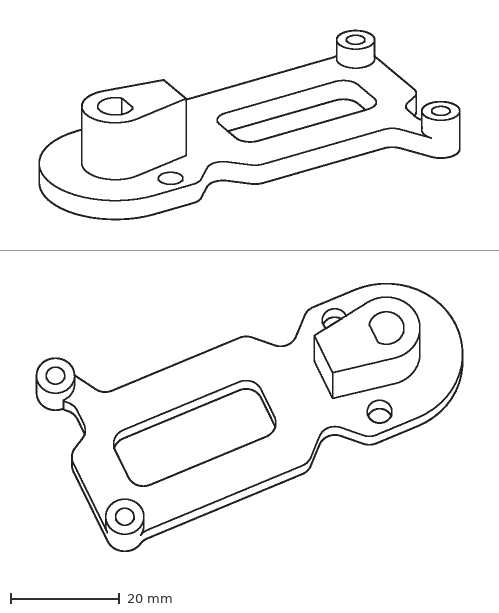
import cadquery as cq
import math


total_length = 75.5
plate_thickness = 4.0
half_width = 14.05
plate_top = total_length - half_width
corner_radius = 3.0

waist_y = 15.85
notch_depth = 6.2

post_diameter = 7.0
post_radius = post_diameter / 2
post_hole_diameter = 3.4
post_height = 2 * plate_thickness
post_y = plate_top - post_radius
left_post_x = -11.5
right_post_x = 19.5

recess_depth = 5.0
recess_start_x = 5.5
recess_end_x = 14.3
recess_slope = math.radians(60)
recess_floor_y = plate_top - recess_depth
recess_floor_x = recess_start_x + recess_depth / math.tan(recess_slope)

arm_slope = math.radians(30)
arm_tangent_x = right_post_x + post_radius * math.sin(arm_slope)
arm_tangent_y = post_y - post_radius * math.cos(arm_slope)
arm_root_y = arm_tangent_y - (arm_tangent_x - half_width) * math.tan(arm_slope)

window_width = 12.0
window_bottom = 23.9
window_length = 29.45

total_height = 4 * plate_thickness
boss_radius = 6.2
boss_end_y = 12.7
boss_end_half_width = 4.1
shaft_diameter = 6.5
shaft_flat_y = 2.6

screw_hole_diameter = 4.5
screw_hole_x = 10.05
screw_hole_y = 5.9


def make_plate():
    """Flat arm with a round near end, a waist and a recessed far edge."""
    notch_points = [
        (half_width, waist_y - notch_depth),
        (half_width - notch_depth, waist_y),
        (half_width, waist_y + notch_depth),
    ]
    left_notch_points = [(-x, y) for x, y in reversed(notch_points)]
    arm_root = (half_width, arm_root_y)
    recess_points = [
        (recess_end_x, recess_floor_y),
        (recess_floor_x, recess_floor_y),
        (recess_start_x, plate_top),
    ]
    outline = cq.Workplane("XY").moveTo(-half_width, 0)
    outline = outline.threePointArc((0, -half_width), (half_width, 0))
    for point in notch_points + [arm_root]:
        outline = outline.lineTo(*point)
    outline = outline.lineTo(arm_tangent_x, arm_tangent_y).lineTo(right_post_x, post_y)
    wall_rise = post_y - recess_floor_y
    outline = outline.lineTo(recess_end_x + wall_rise, post_y)
    for point in recess_points:
        outline = outline.lineTo(*point)
    wall_offset = left_post_x + half_width
    post_wall_joint = (-half_width, post_y - math.sqrt(post_radius**2 - wall_offset**2))
    outline = outline.lineTo(left_post_x, plate_top)
    outline = outline.threePointArc((left_post_x - post_radius, post_y), post_wall_joint)
    for point in left_notch_points:
        outline = outline.lineTo(*point)
    plate = outline.close().extrude(plate_thickness)

    rounded_corners = notch_points + left_notch_points + [arm_root, post_wall_joint] + recess_points
    for x, y in rounded_corners:
        corner = cq.selectors.NearestToPointSelector((x, y, plate_thickness / 2))
        plate = plate.edges("|Z").edges(corner).fillet(corner_radius)
    return plate


def make_boss():
    """Round boss whose two flanks leave the circle tangentially to a flat end."""
    end_distance = math.hypot(boss_end_half_width, boss_end_y)
    end_angle = math.atan2(boss_end_y, boss_end_half_width)
    tangent_angle = end_angle - math.acos(boss_radius / end_distance)
    tangent_x = boss_radius * math.cos(tangent_angle)
    tangent_y = boss_radius * math.sin(tangent_angle)
    return (
        cq.Workplane("XY")
        .moveTo(-boss_end_half_width, boss_end_y)
        .lineTo(-tangent_x, tangent_y)
        .threePointArc((0, -boss_radius), (tangent_x, tangent_y))
        .lineTo(boss_end_half_width, boss_end_y)
        .close()
        .extrude(total_height)
    )


def make_shaft_hole():
    """D-shaped through hole with its flat toward the arm."""
    radius = shaft_diameter / 2
    flat_half_width = math.sqrt(radius**2 - shaft_flat_y**2)
    return (
        cq.Workplane("XY")
        .moveTo(-flat_half_width, shaft_flat_y)
        .threePointArc((0, -radius), (flat_half_width, shaft_flat_y))
        .close()
        .extrude(total_height)
    )


def make_window():
    """Rounded rectangular opening along the arm."""
    return (
        cq.Workplane("XY")
        .center(0, window_bottom + window_length / 2)
        .rect(window_width, window_length)
        .extrude(plate_thickness)
        .edges("|Z")
        .fillet(corner_radius)
    )


def make_cylinders(centers, diameter, height):
    """Equal cylinders standing on the underside plane."""
    return cq.Workplane("XY").pushPoints(centers).circle(diameter / 2).extrude(height)


post_centers = [(left_post_x, post_y), (right_post_x, post_y)]
screw_centers = [(-screw_hole_x, screw_hole_y), (screw_hole_x, screw_hole_y)]

result = (
    make_plate()
    .union(make_boss())
    .union(make_cylinders(post_centers, post_diameter, post_height))
    .cut(make_cylinders(post_centers, post_hole_diameter, post_height))
    .cut(make_cylinders(screw_centers, screw_hole_diameter, plate_thickness))
    .cut(make_shaft_hole())
    .cut(make_window())
)